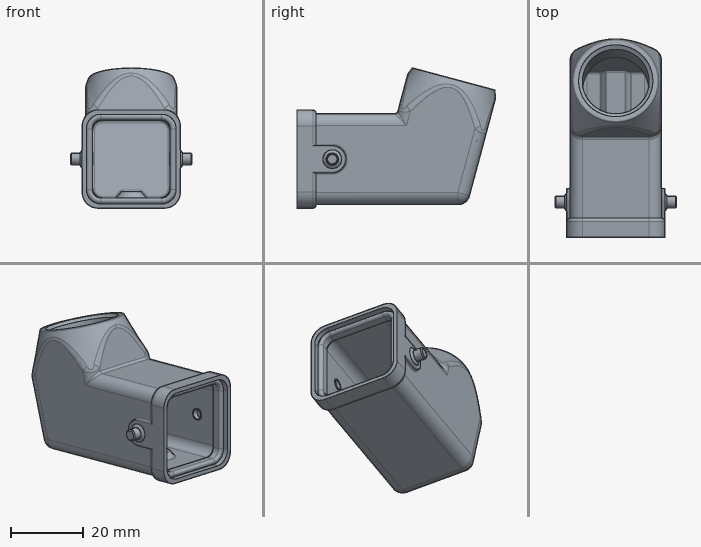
import cadquery as cq
import math


overall_width = 33.4

body_width = 25.05
body_half = body_width / 2
edge_radius = 3.3
tilt = math.radians(15)
rim_centre_y = 43.0
rim_centre_z = 22.05
elbow_blend = 0.8

rim_radius = 11.7
rim_round = 0.2
cone_slope = math.tan(math.radians(21))
cone_depth = 12.8
crest_blend = 2.45

flange_width = 27.0
flange_half = flange_width / 2
flange_depth = 5.3
flange_corner = 4.4
flange_round = 0.9

pin_y = 9.7
pad_radius = 3.75
pad_round = 0.2
pad_blend = 0.3

pin_radius = 1.65
pin_tip_chamfer = 0.3
collar_radius = 2.55
collar_top_radius = 1.7
collar_height = 0.6
pin_hole_radius = 1.35
pin_hole_depth = 1.35
pin_inner_stand = 0.15

wall = 1.9
cavity_half = body_half - wall
cavity_corner = 2.7
cavity_end_round = 0.5
mouth_half = 12.3
mouth_corner = 4.05
seal_half = 10.7
seal_radius = (mouth_half - seal_half) / 2
seal_corner = mouth_corner - 2 * seal_radius
seal_y = 1.9
seal_end_y = 3.8
bore_radius = 9.15
countersink_radius = 10.2
countersink_depth = 0.8

rib_front_y = 9.75
rib_base_radius = 4.2
rib_top_radius = 2.65
rib_height = 1.75
rib_round = 0.3

axis_up = cq.Vector(0, math.sin(tilt), math.cos(tilt))
rim_plane = cq.Plane(origin=(0, rim_centre_y, rim_centre_z), xDir=(1, 0, 0), normal=axis_up)


def neck_wall_y(offset, z):
    """Y at height z of the tilted wall that lies offset behind the neck axis."""
    return rim_centre_y + (z - rim_centre_z) * math.tan(tilt) + offset / math.cos(tilt)


def rim_point(offset):
    """(Y, Z) of a point on the rim plane, offset behind the neck axis."""
    return rim_centre_y + offset * math.cos(tilt), rim_centre_z - offset * math.sin(tilt)


def rounded_square(half, corner, y_start, y_end):
    """Square bar along Y, centred on the tube axis, with rounded corners."""
    return (
        cq.Workplane("XZ", origin=(0, y_start, 0))
        .rect(2 * half, 2 * half)
        .extrude(y_start - y_end)
        .edges("|Y")
        .fillet(corner)
    )


def elbow():
    """Solid tube and neck with rounded long edges and heel, still square at the rim."""
    heel_y = neck_wall_y(body_half, -body_half)
    outline = [
        (0, -body_half),
        (heel_y, -body_half),
        rim_point(body_half),
        rim_point(-body_half),
        (neck_wall_y(-body_half, body_half), body_half),
        (0, body_half),
    ]
    solid = cq.Workplane("YZ").polyline(outline).close().extrude(body_half, both=True)

    def is_rounded(edge):
        middle = edge.Center()
        direction = edge.tangentAt(0.5)
        across = abs(direction.x) > 0.9
        if across:
            return abs(middle.y - heel_y) < 0.005
        along_tube = abs(direction.y) > 0.99
        along_neck = abs(direction.dot(axis_up)) > 0.99
        return along_tube or along_neck

    return solid.edges().filter(is_rounded).fillet(edge_radius)


def neck_waste():
    """What the cone takes off the corners of the square neck."""
    block = cq.Workplane(rim_plane).rect(2 * body_width, 2 * body_width).extrude(-cone_depth)
    cone_base_radius = rim_radius + cone_depth * cone_slope
    cone = cq.Solid.makeCone(
        rim_radius, cone_base_radius, cone_depth, rim_plane.origin, axis_up * -1
    )
    return block.cut(cq.Workplane(cone))


def outer_body():
    body = elbow().cut(neck_waste())
    body = body.edges("%HYPERBOLA").fillet(crest_blend)
    elbow_y = neck_wall_y(-body_half, body_half)
    corner_box = cq.selectors.BoxSelector(
        (-body_half, elbow_y - 0.05, body_half - 0.05),
        (body_half, elbow_y + 0.05, body_half + 0.05),
    )
    body = body.edges("|X").edges(corner_box).fillet(elbow_blend)
    rim_face = cq.selectors.DirectionMinMaxSelector(axis_up, True)
    return body.faces(rim_face).edges().fillet(rim_round)


def flange():
    return (
        rounded_square(flange_half, flange_corner, 0, flange_depth)
        .faces(">Y")
        .edges()
        .fillet(flange_round)
    )


def pin_pad(side):
    """Round-ended pad, flush with the flange, between it and the pin."""
    thickness = flange_half - body_half + wall / 2
    plane = cq.Plane(
        origin=(side * (flange_half - thickness), 0, 0), xDir=(0, 1, 0), normal=(side, 0, 0)
    )
    pad = (
        cq.Workplane(plane)
        .moveTo(flange_depth - flange_round, -pad_radius)
        .lineTo(pin_y, -pad_radius)
        .threePointArc((pin_y + pad_radius, 0), (pin_y, pad_radius))
        .lineTo(flange_depth - flange_round, pad_radius)
        .close()
        .extrude(thickness)
    )
    outer_rim = pad.faces(">X" if side > 0 else "<X").edges("not(|Z)")
    return outer_rim.fillet(pad_round)


def pad_foot_edges(solid):
    """Edges where the round ends and straight sides of the pads meet the tube walls."""

    def is_foot(edge):
        middle = edge.Center()
        on_wall = abs(abs(middle.x) - body_half) < 0.005
        beside_pad = abs(middle.z) < pad_radius + 0.05
        beyond_flange = flange_depth < middle.y < pin_y + pad_radius + 0.05
        return on_wall and beside_pad and beyond_flange

    return solid.edges().filter(is_foot)


def pin(side):
    """Pin through the tube wall, with a conical collar where it leaves the pad."""
    inner_end = cq.Vector(side * (cavity_half - pin_inner_stand), pin_y, 0)
    root = cq.Vector(side * flange_half, pin_y, 0)
    outward = cq.Vector(side, 0, 0)
    pin_length = overall_width / 2 - cavity_half + pin_inner_stand
    shaft = (
        cq.Workplane(cq.Plane(origin=inner_end, xDir=(0, 1, 0), normal=outward))
        .circle(pin_radius)
        .extrude(pin_length)
        .faces(">X" if side > 0 else "<X")
        .chamfer(pin_tip_chamfer)
    )
    collar = cq.Solid.makeCone(
        collar_radius, collar_top_radius, collar_height, root, outward
    )
    return shaft.union(cq.Workplane(collar))


def key_rib():
    """Tapered rib with a conical front end, running back along the cavity floor."""
    length = neck_wall_y(body_half, 0) - rib_front_y
    taper = math.degrees(math.atan((rib_base_radius - rib_top_radius) / rib_height))
    return (
        cq.Workplane("XY", origin=(0, rib_front_y + length / 2, -cavity_half))
        .slot2D(length, 2 * rib_base_radius, 90)
        .extrude(rib_height, taper=taper)
        .faces(">Z")
        .edges()
        .fillet(rib_round)
    )


def cavity():
    """Hollow of the tube, closed by a tilted end wall and notched by the rib."""
    outline = [
        (0, -cavity_half),
        (neck_wall_y(cavity_half, -cavity_half), -cavity_half),
        (neck_wall_y(cavity_half, cavity_half), cavity_half),
        (0, cavity_half),
    ]
    tube = cq.Workplane("YZ").polyline(outline).close().extrude(cavity_half, both=True)
    tube = tube.edges("|Y").fillet(cavity_corner).cut(key_rib())
    tube = tube.faces(">Y").edges().fillet(cavity_end_round)
    foot_box = cq.selectors.BoxSelector(
        (-rib_base_radius - 0.05, rib_front_y - 0.05, -cavity_half - 0.05),
        (rib_base_radius + 0.05, neck_wall_y(0, 0), -cavity_half + 0.05),
    )
    return tube.edges(foot_box).fillet(rib_round)


def mouth():
    """Wide recess at the front, stepping down to the seat behind the seal bead."""
    recess = rounded_square(mouth_half, mouth_corner, 0, seal_y)
    seat = rounded_square(seal_half, seal_corner, 0, seal_end_y)
    return recess.union(seat)


def bore():
    """Countersunk round hole from the rim down into the cavity."""
    depth = (rim_centre_z - cavity_half + wall) / math.cos(tilt)
    hole = cq.Workplane(rim_plane).circle(bore_radius).extrude(-depth)
    countersink = cq.Solid.makeCone(
        countersink_radius, bore_radius, countersink_depth, rim_plane.origin, axis_up * -1
    )
    return hole.union(cq.Workplane(countersink))


def seal_bead():
    """Round bead following the step between mouth and seat."""
    offset = seal_half + seal_radius
    ring = rounded_square(offset, seal_corner + seal_radius, seal_y, seal_end_y)
    path = ring.faces("<Y").wires()
    profile = cq.Workplane("YZ", origin=(0, seal_y, offset)).circle(seal_radius)
    return profile.sweep(path)


def pin_holes():
    """Blind holes sunk from the cavity walls into both pins."""
    length = 2 * (cavity_half + pin_hole_depth)
    return (
        cq.Workplane("YZ", origin=(-length / 2, pin_y, 0)).circle(pin_hole_radius).extrude(length)
    )


result = outer_body().union(flange())
for side in (-1, 1):
    result = result.union(pin_pad(side))
result = pad_foot_edges(result).fillet(pad_blend)
result = result.cut(cavity()).cut(bore()).cut(mouth()).union(seal_bead())
for side in (-1, 1):
    result = result.union(pin(side))
result = result.cut(pin_holes())